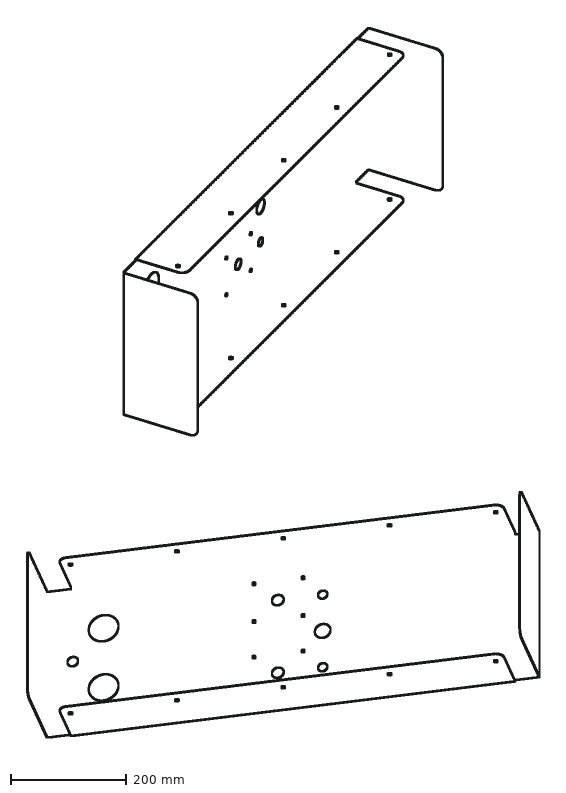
import cadquery as cq

sheet = 1.5
inner_bend_radius = 1.5
outer_bend_radius = inner_bend_radius + sheet
overall_depth = 148.5
overall_length = 879.0
overall_height = 303.0

end_flange_height = 295.0
long_flange_length = 792.0
long_flange_depth = 100.0
flange_corner_radius = 15.0

flange_hole_diameter = 6.5
flange_hole_count = 5
flange_hole_pitch = 189.5
flange_hole_edge_distance = 24.0

screw_hole_diameter = 5.5
screw_columns = (17.5, -70.0)
screw_heights = (36.0, 112.5)

port_height = 73.5
center_port_y = 52.5
center_port_diameter = 28.0
small_port_y = center_port_y
small_port_diameter = 16.5
medium_port_y = -27.5
medium_port_diameter = 21.0

large_opening_y = -338.0
large_opening_height = 60.0
large_opening_diameter = 53.0

end_hole_y = -393.0
end_hole_diameter = 19.0


def channel(plane, width, depth, length):
    """Bent sheet channel with its web at X = 0 and its legs along +X, extruded both ways from the plane."""
    middle = depth / 2
    axis = "Z" if plane == "XY" else "Y"
    body = cq.Workplane(plane).center(middle, 0).rect(depth, width).extrude(length / 2, both=True)
    body = body.edges(f"<X and |{axis}").fillet(outer_bend_radius)
    inside = (
        cq.Workplane(plane)
        .center(middle + sheet, 0)
        .rect(depth, width - 2 * sheet)
        .extrude(length / 2, both=True)
        .edges(f"<X and |{axis}")
        .fillet(inner_bend_radius)
    )
    return body.cut(inside)


def end_flanged_channel():
    """Web with the two end flanges, free corners rounded."""
    body = channel("XY", overall_length, overall_depth, end_flange_height)
    return body.edges(">X and |Y").edges("<Z or >Z").fillet(flange_corner_radius)


def long_flanged_channel():
    """Web with the upper and lower flanges, free corners rounded and holes drilled."""
    body = channel("XZ", overall_height, long_flange_depth, long_flange_length)
    body = body.edges(">X and |Z").edges("<Y or >Y").fillet(flange_corner_radius)
    holes = (
        cq.Workplane("XY")
        .center(long_flange_depth - flange_hole_edge_distance, 0)
        .rarray(1, flange_hole_pitch, 1, flange_hole_count)
        .circle(flange_hole_diameter / 2)
        .extrude(overall_height, both=True)
    )
    return body.cut(holes)


def web_holes(centers, diameter):
    """Cylinders that pierce the web at the given (Y, Z) centres."""
    return cq.Workplane("YZ").pushPoints(centers).circle(diameter / 2).extrude(2 * sheet)


def mirrored_pair(y, height):
    """Two centres at equal distances above and below mid-height."""
    return [(y, height), (y, -height)]


screw_centers = []
for column in screw_columns:
    for screw_height in screw_heights:
        screw_centers += mirrored_pair(column, screw_height)

result = end_flanged_channel().union(long_flanged_channel())

web_hole_groups = (
    (screw_centers, screw_hole_diameter),
    (mirrored_pair(small_port_y, port_height), small_port_diameter),
    (mirrored_pair(medium_port_y, port_height), medium_port_diameter),
    ([(center_port_y, 0)], center_port_diameter),
    (mirrored_pair(large_opening_y, large_opening_height), large_opening_diameter),
    ([(end_hole_y, 0)], end_hole_diameter),
)
for hole_centers, hole_diameter in web_hole_groups:
    result = result.cut(web_holes(hole_centers, hole_diameter))